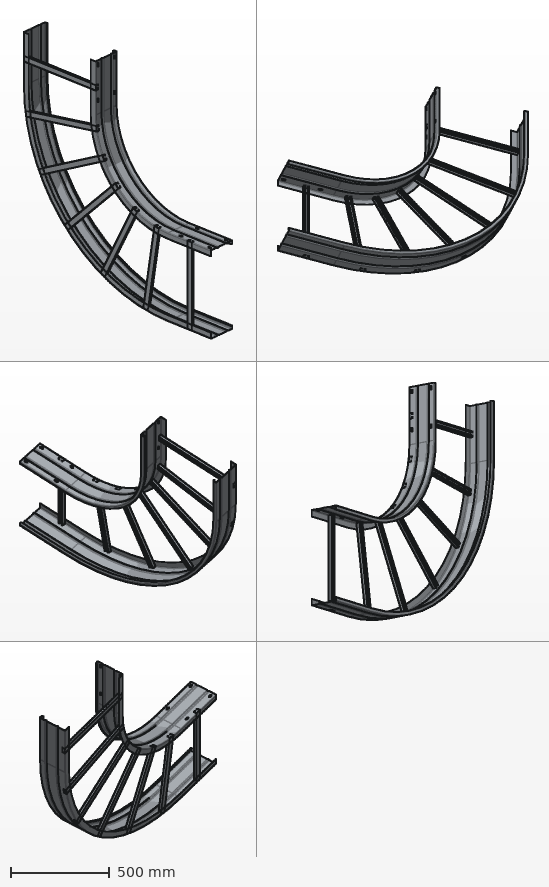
import cadquery as cq
import math


SIZE = 1300.0
DEPTH = 160.0
LEG = 300.0
RAIL_SPACING = 500.0
BEND_CENTRE = SIZE / 2 - LEG
OUTER_RADIUS = SIZE - LEG
INNER_RADIUS = OUTER_RADIUS - RAIL_SPACING
BEND_ANGLE = 90.0

SHEET = 2.0
FOLD_RADIUS = 3.2
FRONT_FLANGE = 35.0
BACK_FLANGE = 21.0
LIP = 10.0
GROOVE_PLACES = (-29.0, 42.0)
GROOVE_WIDTH = 15.0
GROOVE_DEPTH = 4.5
FRONT_Y = -DEPTH / 2
BACK_Y = DEPTH / 2

SLOT_LENGTH = 20.0
SLOT_HEIGHT = 8.0
SLOT_Y = 61.0
SLOT_END_GAPS = (25.0, 225.0)

RUNG_WIDTH = 34.0
RUNG_BACK_WIDTH = 29.0
RUNG_DEPTH = 18.0
RUNG_STRAIGHT_SIDE = 5.0
RUNG_MOUTH = 13.0
RUNG_CORNER_RADIUS = 2.0
BEND_RUNGS = 5
RUNG_PITCH = BEND_ANGLE / BEND_RUNGS


def groove_segments(groove_y, inset):
    """Groove across the web as a rounded crown between two rounded shoulders, all tangent.

    inset moves the whole curve that far into the sheet.
    """
    half_width = GROOVE_WIDTH / 2
    turn = 2 * math.atan(GROOVE_DEPTH / half_width)
    radius = half_width / (2 * math.sin(turn))
    shoulder_radius = radius - inset

    def shoulder_point(side, angle):
        along = half_width - shoulder_radius * math.sin(angle)
        return (radius - shoulder_radius * math.cos(angle), groove_y + side * along)

    crown = (GROOVE_DEPTH + inset, groove_y)
    return [
        (shoulder_point(-1, turn / 2), shoulder_point(-1, turn)),
        (crown, shoulder_point(1, turn)),
        (shoulder_point(1, turn / 2), shoulder_point(1, 0)),
    ]


def web_segments(inset):
    """Straight stretches and grooves of the web from front to back, as (arc midpoint, end) pairs."""
    segments = []
    for groove_y in GROOVE_PLACES:
        segments.append((None, (inset, groove_y - GROOVE_WIDTH / 2)))
        segments += groove_segments(groove_y, inset)
    return segments


def fold(centre, radius, from_angle):
    """Quarter arc turning clockwise round a fold, as an (arc midpoint, end) pair."""
    def point(degrees):
        turn = math.radians(degrees)
        return (centre[0] + radius * math.cos(turn), centre[1] + radius * math.sin(turn))

    return (point(from_angle - 45), point(from_angle - 90))


def skin_segments(inset):
    """One face of the sheet from the front flange's tip to the lip's tip; inset 0 is the outside."""
    radius = FOLD_RADIUS - inset
    near = FOLD_RADIUS
    far = BACK_FLANGE - FOLD_RADIUS
    front = FRONT_Y + FOLD_RADIUS
    back = BACK_Y - FOLD_RADIUS
    return (
        [(None, (near, FRONT_Y + inset)), fold((near, front), radius, 270)]
        + web_segments(inset)
        + [(None, (inset, back)), fold((near, back), radius, 180)]
        + [(None, (far, BACK_Y - inset)), fold((far, back), radius, 90)]
        + [(None, (BACK_FLANGE - inset, BACK_Y - LIP))]
    )


def reverse(start, segments):
    """The same run of segments drawn from its far end back to its start."""
    points = [start] + [end for _, end in segments]
    middles = [middle for middle, _ in segments]
    return list(zip(reversed(middles), reversed(points[:-1])))


def rail_section(web_radius, toward_rungs):
    """Closed section at the start of the bend; toward_rungs is +1 or -1 along X."""
    web_x = BEND_CENTRE - web_radius

    def place(point):
        return (web_x + toward_rungs * point[0], point[1])

    back_tip = (BACK_FLANGE - SHEET, BACK_Y - LIP)
    inside_start = (FRONT_FLANGE, FRONT_Y + SHEET)
    path = skin_segments(0) + [(None, back_tip)] + reverse(inside_start, skin_segments(SHEET))
    section = cq.Workplane("XY", origin=(0, 0, BEND_CENTRE)).moveTo(*place((FRONT_FLANGE, FRONT_Y)))
    for middle, end in path:
        if middle is None:
            section = section.lineTo(*place(end))
        else:
            section = section.threePointArc(place(middle), place(end))
    return section.close()


def mirror_across_diagonal(body):
    """Swap X and Z, which carries one leg onto the other."""
    return body.mirror((1, 0, -1))


def make_rail(web_radius, toward_rungs, slots=None):
    bend = rail_section(web_radius, toward_rungs).revolve(BEND_ANGLE, (BEND_CENTRE, 13, 0), (BEND_CENTRE, 0, 0))
    leg = rail_section(web_radius, toward_rungs).extrude(LEG)
    if slots is not None:
        leg = leg.cut(slots)
    return bend.union(leg).union(mirror_across_diagonal(leg))


def splice_slots():
    """Cutters for the slots through the inner rail's web on its upright leg."""
    web_x = BEND_CENTRE - INNER_RADIUS
    places = [(side * SLOT_Y, SIZE / 2 - gap) for side in (-1, 1) for gap in SLOT_END_GAPS]
    return (
        cq.Workplane("YZ", origin=(web_x, 0, 0))
        .pushPoints(places)
        .slot2D(SLOT_LENGTH, SLOT_HEIGHT, 90)
        .extrude(SHEET, both=True)
    )


def make_rung():
    """Rung along X beside the bend axis, tapering toward its open back.

    Its ends reach halfway into the thickness of both webs, ready to be trimmed to them.
    """
    start_x = BEND_CENTRE - OUTER_RADIUS + SHEET / 2
    length = RAIL_SPACING - SHEET
    half_width = RUNG_WIDTH / 2
    half_back = RUNG_BACK_WIDTH / 2
    start = cq.Workplane("YZ", origin=(start_x, FRONT_Y + SHEET, BEND_CENTRE))

    outline = [
        (0, -half_width),
        (RUNG_STRAIGHT_SIDE, -half_width),
        (RUNG_DEPTH, -half_back),
        (RUNG_DEPTH, half_back),
        (RUNG_STRAIGHT_SIDE, half_width),
        (0, half_width),
    ]
    tube = start.polyline(outline).close().extrude(length)
    tube = tube.faces("<Y").edges("|X").fillet(RUNG_CORNER_RADIUS)
    bore = start.polyline(outline).close().offset2D(-SHEET).extrude(length)
    mouth = start.moveTo(RUNG_DEPTH, 0).rect(RUNG_DEPTH, RUNG_MOUTH).extrude(length)
    return tube.cut(bore).cut(mouth)


outer_rail = make_rail(OUTER_RADIUS, 1)
inner_rail = make_rail(INNER_RADIUS, -1, splice_slots())

rung = make_rung()
leg_rung = rung.translate((0, 0, LEG / 2))
placed_rungs = [leg_rung, mirror_across_diagonal(leg_rung)]

bend_axis = ((BEND_CENTRE, 0, BEND_CENTRE), (BEND_CENTRE, -1, BEND_CENTRE))
for index in range(BEND_RUNGS):
    placed_rungs.append(rung.rotate(*bend_axis, (index + 0.5) * RUNG_PITCH))

rungs = [placed.cut(outer_rail).cut(inner_rail) for placed in placed_rungs]

result = cq.Compound.makeCompound(
    [outer_rail.val(), inner_rail.val()] + [solid for trimmed in rungs for solid in trimmed.solids().vals()]
)